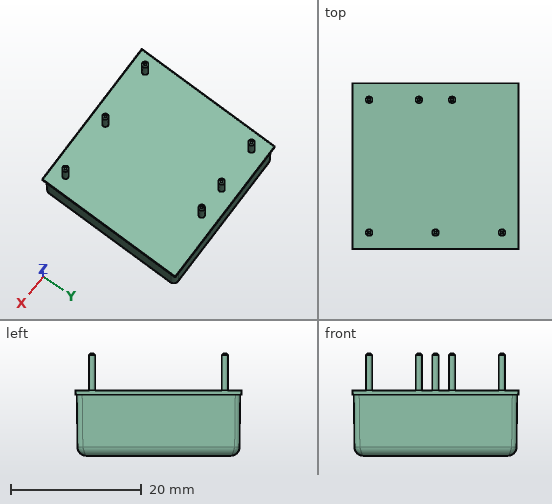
import cadquery as cq

plate_side = 25.4
plate_thickness = 0.69
plate_top = 10.05
plate_bottom = plate_top - plate_thickness

case_side = 25.05
draft_angle = 0.7
corner_radius = 0.81
bottom_radius = 1.42

total_height = 15.7
pin_diameter = 1.02
tip_chamfer = 0.3
pin_pitch = 2.55
back_row_columns = (-4, -1, 1)
front_row_columns = (-4, 0, 4)
row_offset = 4 * pin_pitch


def make_case():
    """Case tapering downwards, with rounded corners and bottom edges."""
    case = (
        cq.Workplane("XY")
        .workplane(offset=plate_bottom)
        .rect(case_side, case_side)
        .extrude(-plate_bottom, taper=draft_angle)
        .edges("not(<Z or >Z)")
        .fillet(corner_radius)
    )
    return case.faces("<Z").edges().fillet(bottom_radius)


def make_plate():
    return (
        cq.Workplane("XY")
        .workplane(offset=plate_bottom)
        .rect(plate_side, plate_side)
        .extrude(plate_thickness)
    )


def make_pins():
    """Both pin rows, rooted in the middle of the plate."""
    root = plate_top - plate_thickness / 2
    centres = [(column * pin_pitch, row_offset) for column in back_row_columns]
    centres += [(column * pin_pitch, -row_offset) for column in front_row_columns]
    return (
        cq.Workplane("XY")
        .workplane(offset=root)
        .pushPoints(centres)
        .circle(pin_diameter / 2)
        .extrude(total_height - root)
        .faces(">Z")
        .edges()
        .chamfer(tip_chamfer)
    )


result = make_case().union(make_plate()).union(make_pins())